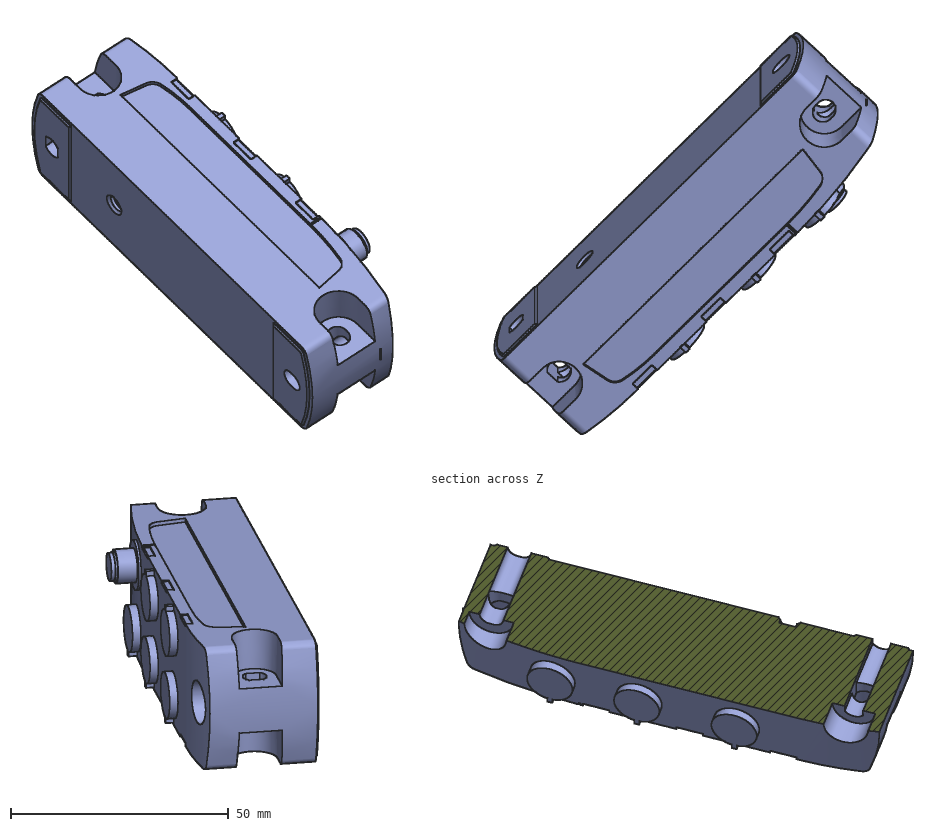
import cadquery as cq
import math

end_left = -51.2
end_right = 50.9
width = 30.0
half_width = width / 2
lid_height = 27.2
end_radius = 44.0
corner_radius = 2.0

lid_flat_left = -32.7
lid_flat_right = 19.9
lid_end_left = 25.3
lid_end_right = 23.8

mount_height = 13.3
mount_left = -43.4
mount_right = 44.1
web_half = 5.4
channel_left_floor = 10.0
channel_left_mouth = 10.6
channel_right_floor = 11.0
channel_right_mouth = 11.3
hole_left_diameter = 5.5
hole_left_flats = 4.4
hole_right_length = 5.6
hole_right_width = 4.7
seat_left_diameter = 10.2
seat_right_diameter = 10.6
seat_floor = 20.5

foot_height = 0.5
foot_inset = 1.0
foot_inner_x = 36.8
foot_bevel = 0.4

insert_x = -21.3
insert_diameter = 4.0
insert_mouth = 5.3
insert_depth = 1.5

panel_bottom = 14.0
panel_top = 24.1
panel_bottom_half = 36.2
panel_top_half = 34.8
panel_shoulder = 22.7
panel_flat_left = -23.5
panel_corner_radius = 3.1
panel_depth = 0.9
groove_width = 0.4
groove_depth = 0.4
groove_x = 20.7

clip_pitch = 22.6
clip_center_x = -5.9
clip_width = 6.3
clip_bottom = 25.5
clip_depth = 0.3
clip_bevel = 0.3

port_pitch = 23.5
port_first_x = -17.3
port_last_x = 27.2
port_row_z = 7.7
connector_z = 7.8
plug_diameter = 10.9
plug_top = 29.2
tab_width = 1.2
tab_reach = 6.6
connector_flange_diameter = 11.7
connector_flange_top = 27.7
connector_diameter = 8.0
connector_top = 32.2
collar_diameter = 7.0
collar_top = 32.7
nose_diameter = 6.5
nose_top = 33.7
port_root = 24.6

rib_height = 20.0
rib_width = 3.7
rib_thickness = 0.3
rib_reach = 0.2


def arc_middle(start, end, tangent_height):
    """Point on the arc that starts level at `start` and drops to `end`."""
    run = abs(end[0] - start[0])
    drop = tangent_height - end[1]
    radius = (run ** 2 + drop ** 2) / (2 * drop)
    half_angle = math.asin(run / radius) / 2
    direction = math.copysign(1, end[0] - start[0])
    x = start[0] + direction * radius * math.sin(half_angle)
    y = tangent_height - radius * (1 - math.cos(half_angle))
    return (x, y)


def plan_prism(height, inset=0.0):
    """Footprint with bowed ends, moved inwards by `inset` and extruded along +Y from the base."""
    radius = end_radius - inset
    side = half_width - inset
    left = end_left + inset
    right = end_right - inset
    sag = radius - math.sqrt(radius ** 2 - side ** 2)
    outline = (
        cq.Workplane("XZ")
        .moveTo(left + sag, -side)
        .lineTo(right - sag, -side)
        .threePointArc((right, 0), (right - sag, side))
        .lineTo(left + sag, side)
        .threePointArc((left, 0), (left + sag, -side))
        .close()
        .extrude(-height)
    )
    return outline.edges("|Y").fillet(corner_radius - inset)


def housing():
    flat_left = (lid_flat_left, lid_height)
    flat_right = (lid_flat_right, lid_height)
    top_left = (end_left, lid_end_left)
    top_right = (end_right, lid_end_right)
    side = (
        cq.Workplane("XY")
        .moveTo(end_left, 0)
        .lineTo(end_right, 0)
        .lineTo(*top_right)
        .threePointArc(arc_middle(flat_right, top_right, lid_height), flat_right)
        .lineTo(*flat_left)
        .threePointArc(arc_middle(flat_left, top_left, lid_height), top_left)
        .close()
        .extrude(half_width, both=True)
    )
    return plan_prism(lid_height).intersect(side)


def block(x, y, z):
    """Box spanning the given (low, high) ranges."""
    size = [high - low for low, high in (x, y, z)]
    return cq.Workplane("XY").box(*size, centered=False).translate((x[0], y[0], z[0]))


def feet():
    """Two bevelled pads under the ends, following the inset footprint."""
    middle = block((-foot_inner_x, foot_inner_x), (0, foot_height), (-half_width, half_width))
    pads = plan_prism(foot_height, foot_inset).cut(middle)
    return pads.translate((0, -foot_height, 0)).faces("<Y").edges().chamfer(foot_bevel)


def channel(x, floor_diameter, mouth_diameter, outward):
    """Round-ended channel on both sides of the web, open at the end, widening away from the web."""
    depth = half_width - web_half
    draft = math.degrees(math.atan((mouth_diameter - floor_diameter) / 2 / depth))
    radius = floor_diameter / 2
    reach = outward * (end_right - end_left) / 2
    upper = (
        cq.Workplane("XY", origin=(x, mount_height, web_half))
        .moveTo(reach, -radius)
        .lineTo(0, -radius)
        .threePointArc((-outward * radius, 0), (0, radius))
        .lineTo(reach, radius)
        .close()
        .extrude(depth, taper=-draft)
    )
    return upper.union(upper.mirror("XY"))


def left_hole(plane):
    """Round hole narrowed by two flats facing along X."""
    through = 2 * lid_height
    flats = plane.rect(hole_left_flats, hole_left_diameter).extrude(through, both=True)
    return plane.circle(hole_left_diameter / 2).extrude(through, both=True).intersect(flats)


def right_hole(plane):
    return plane.slot2D(hole_right_length, hole_right_width).extrude(2 * lid_height, both=True)


def lid_cylinder(x, z, diameter, bottom, top):
    """Cylinder standing along Y."""
    plane = cq.Workplane("XZ", origin=(x, bottom, z))
    return plane.circle(diameter / 2).extrude(bottom - top)


def mounting_cuts():
    cuts = channel(mount_left, channel_left_floor, channel_left_mouth, -1)
    cuts = cuts.union(channel(mount_right, channel_right_floor, channel_right_mouth, 1))
    for name, height in (("XY", mount_height), ("XZ", 0)):
        cuts = cuts.union(left_hole(cq.Workplane(name, origin=(mount_left, height, 0))))
        cuts = cuts.union(right_hole(cq.Workplane(name, origin=(mount_right, height, 0))))
    cuts = cuts.union(lid_cylinder(mount_left, 0, seat_left_diameter, seat_floor, lid_height))
    return cuts.union(lid_cylinder(mount_right, 0, seat_right_diameter, seat_floor, lid_height))


def insert_hole():
    bore = lid_cylinder(insert_x, 0, insert_diameter, 0, insert_depth)
    mouth_depth = (insert_mouth - insert_diameter) / 2
    mouth = cq.Solid.makeCone(
        insert_mouth / 2, insert_diameter / 2, mouth_depth, cq.Vector(insert_x, 0, 0), cq.Vector(0, 1, 0)
    )
    return bore.union(cq.Workplane(mouth))


def label_recess():
    """Flat-bottomed recess on the +Z side, with a groove from its upper edge to the lid."""
    flat_left = (panel_flat_left, panel_top)
    flat_right = (groove_x, panel_top)
    left = (-panel_top_half, panel_shoulder)
    right = (panel_top_half, panel_shoulder)
    flank_low = (panel_bottom + panel_shoulder) / 2
    flank_high = (panel_shoulder + panel_top) / 2
    outline = (
        cq.Workplane("XY")
        .workplane(offset=half_width - panel_depth)
        .moveTo(-panel_bottom_half, panel_bottom)
        .lineTo(panel_bottom_half, panel_bottom)
        .lineTo(*right)
        .threePointArc(arc_middle(flat_right, right, panel_top), flat_right)
        .lineTo(*flat_left)
        .threePointArc(arc_middle(flat_left, left, panel_top), left)
        .close()
        .extrude(panel_depth)
    )
    shoulders = outline.edges("|Z").filter(lambda edge: flank_low < edge.Center().y < flank_high)
    groove = block(
        (groove_x - groove_width / 2, groove_x + groove_width / 2),
        (panel_shoulder, lid_height),
        (half_width - groove_depth, half_width),
    )
    return shoulders.fillet(panel_corner_radius).union(groove)


def clip_notches():
    """Three shallow notches in the +Z side, open at the lid and bevelled inwards at the top."""
    floor = half_width - clip_depth
    profile = (
        cq.Workplane("YZ")
        .polyline([
            (clip_bottom, half_width),
            (clip_bottom, floor),
            (lid_height - clip_bevel, floor),
            (lid_height, floor - clip_bevel),
            (lid_height, half_width),
        ])
        .close()
        .extrude(clip_width / 2, both=True)
    )
    notches = cq.Workplane("XY")
    for index in (-1, 0, 1):
        notches = notches.union(profile.translate((clip_center_x + index * clip_pitch, 0, 0)))
    return notches


def plug(x, row):
    """Round port plug with a tab on its outer side; `row` is +1 or -1."""
    disc = lid_cylinder(x, row * port_row_z, plug_diameter, port_root, plug_top)
    tab_range = sorted((row * port_row_z, row * (port_row_z + tab_reach)))
    tab = block((x - tab_width / 2, x + tab_width / 2), (port_root, plug_top), tab_range)
    return disc.union(tab)


def connector(x):
    """Stepped round connector in the +Z row."""
    steps = (
        (connector_flange_diameter, connector_flange_top),
        (connector_diameter, connector_top),
        (collar_diameter, collar_top),
        (nose_diameter, nose_top),
    )
    stack = cq.Workplane("XY")
    for diameter, top in steps:
        stack = stack.union(lid_cylinder(x, connector_z, diameter, port_root, top))
    return stack


def ports():
    columns = (port_first_x, port_first_x + port_pitch, port_last_x)
    fittings = connector(columns[-1])
    for x in columns:
        fittings = fittings.union(plug(x, -1))
    for x in columns[:-1]:
        fittings = fittings.union(plug(x, 1))
    return fittings


def end_rib():
    return block(
        (end_right - 2 * rib_reach, end_right + rib_reach),
        (rib_height - rib_thickness / 2, rib_height + rib_thickness / 2),
        (-rib_width / 2, rib_width / 2),
    )


side_cuts = label_recess().union(clip_notches())
side_cuts = side_cuts.union(side_cuts.mirror("XY"))

result = housing().cut(side_cuts).union(ports()).union(feet()).union(end_rib())
result = result.cut(mounting_cuts()).cut(insert_hole())